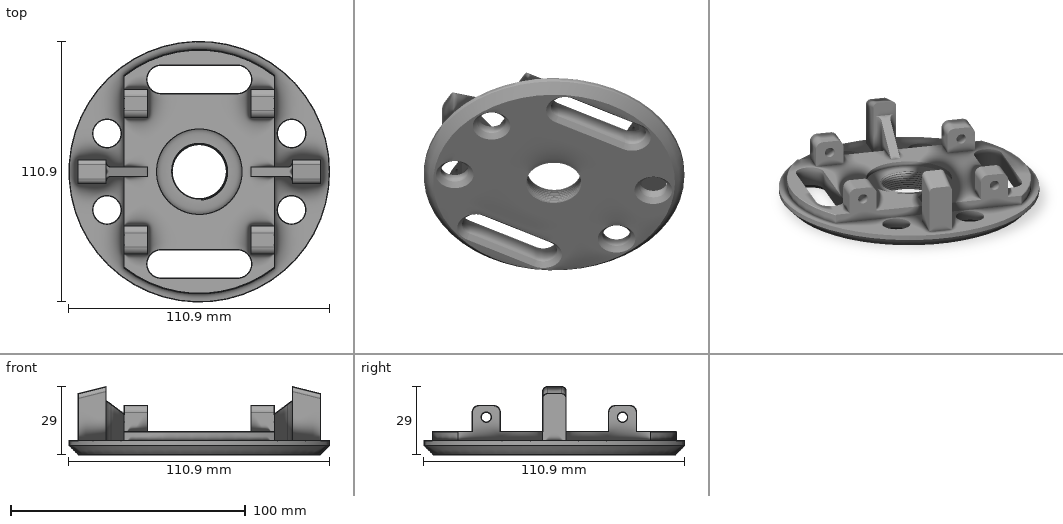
import cadquery as cq
import math

base_diameter = 110.9
base_height = 6.0
base_bevel = 4.0

platform_radius = 52.0
platform_half_width = 32.0
platform_top = 10.0
platform_edge_bevel = 0.25

recess_diameter = 36.4
recess_depth = 2.0
thread_minor_diameter = 23.04
thread_major_diameter = 24.16
thread_pitch = 1.0
thread_depth = (thread_major_diameter - thread_minor_diameter) / 2
thread_flank_angle = math.radians(30)
thread_root_width = thread_pitch / 8
thread_start_angle = 90
recess_floor = platform_top - recess_depth

opening_diameter = 12.0
opening_circle_radius = 42.5
opening_bevel = 2.0
opening_angle = math.radians(22.5)
hole_x = opening_circle_radius * math.cos(opening_angle)
hole_y = opening_circle_radius * math.sin(opening_angle)
slot_y = hole_x
slot_length = 2 * hole_y + opening_diameter

lug_length = 10.0
lug_width = 12.0
lug_top = 21.0
lug_round = 3.0
lug_y = 29.0
lug_hole_diameter = 4.2
lug_hole_z = 16.0

post_outer_x = 51.6
post_length = 12.0
post_width = 10.0
post_inner_top = 29.0
post_outer_top = 26.0
post_round = 2.0
post_inner_x = post_outer_x - post_length
gusset_thickness = 4.0
gusset_tip_x = platform_half_width - lug_length
gusset_top = 23.0
gusset_root_round = 2.0

overlap = 1.0
sides = (-1, 1)


def make_base():
    disc = cq.Workplane("XY").circle(base_diameter / 2).extrude(base_height)
    return disc.faces("<Z").chamfer(base_bevel)


def make_platform():
    disc = cq.Workplane("XY").workplane(offset=base_height - overlap)
    disc = disc.circle(platform_radius).extrude(platform_top - base_height + overlap)
    disc = disc.faces(">Z").chamfer(platform_edge_bevel)
    flats = cq.Workplane("XY").box(2 * platform_half_width, 2 * platform_radius, 2 * platform_top)
    return disc.intersect(flats)


def make_lug(side_x, side_y):
    bottom = platform_top - overlap
    center_x = side_x * (platform_half_width - lug_length / 2)
    lug = cq.Workplane("XY").box(lug_length, lug_width, lug_top - bottom, centered=(True, True, False))
    lug = lug.edges("|X and >Z").fillet(lug_round)
    lug = lug.translate((center_x, side_y * lug_y, bottom))
    pin_hole = (
        cq.Workplane("YZ")
        .center(side_y * lug_y, lug_hole_z)
        .circle(lug_hole_diameter / 2)
        .extrude(lug_length, both=True)
        .translate((center_x, 0, 0))
    )
    return lug.cut(pin_hole)


def make_post():
    """Post on the +X side."""
    bottom = base_height - overlap
    outline = [
        (post_inner_x, bottom),
        (post_outer_x, bottom),
        (post_outer_x, post_outer_top),
        (post_inner_x, post_inner_top),
    ]
    post = cq.Workplane("XZ").polyline(outline).close().extrude(post_width / 2, both=True)
    return post.faces(">Z").edges(">Y or <Y").fillet(post_round)


def make_gusset():
    """Sloping web on the +X side, flared by concave rounds where it meets the post."""
    bottom = base_height - overlap
    half = gusset_thickness / 2
    flare = half + gusset_root_round
    flare_x = post_inner_x - gusset_root_round
    end_x = post_inner_x + overlap
    bend = gusset_root_round * math.sqrt(0.5)
    plan = (
        cq.Workplane("XY")
        .workplane(offset=bottom)
        .moveTo(gusset_tip_x, -half)
        .lineTo(flare_x, -half)
        .threePointArc((flare_x + bend, bend - flare), (post_inner_x, -flare))
        .lineTo(end_x, -flare)
        .lineTo(end_x, flare)
        .lineTo(post_inner_x, flare)
        .threePointArc((flare_x + bend, flare - bend), (flare_x, half))
        .lineTo(gusset_tip_x, half)
        .close()
        .extrude(post_inner_top - bottom)
    )
    profile = [
        (gusset_tip_x, bottom),
        (end_x, bottom),
        (end_x, gusset_top),
        (post_inner_x, gusset_top),
        (gusset_tip_x, platform_top),
    ]
    slope = cq.Workplane("XZ").polyline(profile).close().extrude(post_width, both=True)
    return plan.intersect(slope)


def cut_openings(body):
    """Four round holes and two slots, bevelled where they meet the underside."""
    hole_points = [(side_x * hole_x, side_y * hole_y) for side_x in sides for side_y in sides]
    slot_points = [(0, side_y * slot_y) for side_y in sides]
    holes = cq.Workplane("XY").pushPoints(hole_points).circle(opening_diameter / 2).extrude(platform_top)
    slots = cq.Workplane("XY").pushPoints(slot_points).slot2D(slot_length, opening_diameter)
    slots = slots.extrude(platform_top)
    body = body.cut(holes).cut(slots)
    underside = body.faces("<Z").val()
    rim_edges = [edge for rim in underside.innerWires() for edge in rim.Edges()]
    return body.newObject(rim_edges).chamfer(opening_bevel)


def make_thread_groove():
    """Helical groove with a narrow flat root, trimmed to the bore's ends."""
    minor = thread_minor_diameter / 2
    major = thread_major_diameter / 2
    mouth = minor - thread_depth / 5
    root_half = thread_root_width / 2
    mouth_half = root_half + (major - mouth) * math.tan(thread_flank_angle)
    start = -thread_pitch
    helix = cq.Wire.makeHelix(thread_pitch, recess_floor + 2 * thread_pitch, minor)
    helix = helix.translate(cq.Vector(0, 0, start))
    section = [
        (mouth, start - mouth_half),
        (major, start - root_half),
        (major, start + root_half),
        (mouth, start + mouth_half),
    ]
    groove = cq.Workplane("XZ").polyline(section).close()
    groove = groove.sweep(cq.Workplane(helix), isFrenet=True)
    bore_span = cq.Workplane("XY").circle(thread_major_diameter).extrude(recess_floor)
    return groove.intersect(bore_span).rotate((0, 0, 0), (0, 0, 1), thread_start_angle)


def cut_threaded_bore(body):
    recess = cq.Workplane("XY").workplane(offset=recess_floor)
    recess = recess.circle(recess_diameter / 2).extrude(recess_depth)
    bore = cq.Workplane("XY").circle(thread_minor_diameter / 2).extrude(platform_top)
    return body.cut(recess).cut(bore).cut(make_thread_groove())


body = make_base().union(make_platform())
body = cut_openings(body)
body = cut_threaded_bore(body)
for side_x in sides:
    for side_y in sides:
        body = body.union(make_lug(side_x, side_y))

braced_post = make_post().union(make_gusset())
result = body.union(braced_post).union(braced_post.mirror("YZ"))